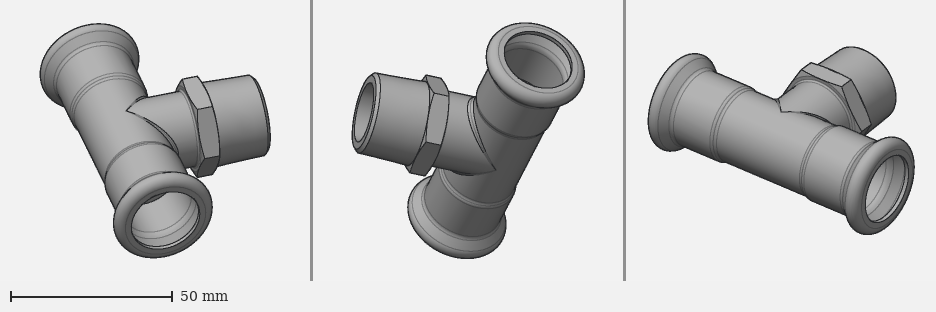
import cadquery as cq
import math

length = 82.0
run_radius = 23.8 / 2
bore_radius = 18.7 / 2

socket_radius = 25.0 / 2
socket_bore_radius = 22.1 / 2
bead_outer_radius = 15.87
bead_round = 2.9
bead_angle = math.radians(40)
root_round = 2.1
step_start = 22.8
step_width = 2.1
groove_wall = 1.4

branch_end = 58.9 - bead_outer_radius
hex_bottom = 19.9
hex_top = 26.1
hex_flats = 27.1
hex_chamfer_angle = math.radians(17)
neck_fillet = 0.6
crotch_size = 1.4
taper_base_radius = 13.3
taper_end_radius = 12.7
end_chamfer = 1.1

bead_center_radius = bead_outer_radius - bead_round
step_end = step_start + step_width


def revolve_run(profile):
    return profile.close().revolve(360, (0, 0, 0), (1, 0, 0))


def flare(profile, start, round_radius, tube_radius, root_radius):
    """Add a bead arc, sloping wall and root arc, ending tangent to a tube."""
    sine = math.sin(bead_angle)
    cosine = math.cos(bead_angle)
    half_angle = (math.pi / 2 - bead_angle) / 2
    center_x = start + round_radius
    slope_start = (center_x + round_radius * sine, bead_center_radius + round_radius * cosine)
    slope_end_radius = tube_radius + root_radius * (1 - cosine)
    slope_length = (slope_start[1] - slope_end_radius) / math.tan(bead_angle)
    slope_end = (slope_start[0] + slope_length, slope_end_radius)
    root_middle = (
        slope_end[0] + root_radius * (sine - math.sin(bead_angle / 2)),
        tube_radius + root_radius * (1 - math.cos(bead_angle / 2)),
    )
    bead_middle = (
        center_x - round_radius * math.sin(half_angle),
        bead_center_radius + round_radius * math.cos(half_angle),
    )
    return (
        profile.lineTo(start, bead_center_radius)
        .threePointArc(bead_middle, slope_start)
        .lineTo(*slope_end)
        .threePointArc(root_middle, (slope_end[0] + root_radius * sine, tube_radius))
    )


def make_socket():
    """Left socket shell, with its end face on the YZ plane."""
    profile = cq.Workplane("XY").moveTo(0, 0)
    profile = flare(profile, 0, bead_round, socket_radius, root_round)
    step_middle = (step_start + step_width / 2, (socket_radius + run_radius) / 2)
    profile = (
        profile.lineTo(step_start, socket_radius)
        .tangentArcPoint(step_middle, relative=False)
        .tangentArcPoint((step_end, run_radius), relative=False)
        .lineTo(step_end, 0)
    )
    return revolve_run(profile)


def make_socket_cavity():
    """Socket bore with the sealing ring groove inside the bead."""
    bore = cq.Workplane("YZ").circle(socket_bore_radius).extrude(step_start)
    groove = cq.Workplane("XY").moveTo(groove_wall, 0)
    groove = flare(
        groove, groove_wall, bead_round - groove_wall, socket_bore_radius, root_round + groove_wall
    )
    groove = groove.lineTo(step_start, socket_bore_radius).lineTo(step_start, 0)
    return bore.union(revolve_run(groove))


def both_ends(shape):
    left = shape.translate((-length / 2, 0, 0))
    return left.union(left.mirror("YZ"))


def branch_cylinder(radius, start, end):
    return cq.Workplane("XZ", origin=(0, start, 0)).circle(radius).extrude(start - end)


def make_crotch_web():
    """Sloping web at x > 0 between run and branch, narrowing to nothing at z = +/- run_radius."""
    contact = run_radius + crotch_size
    wedge = (
        cq.Workplane("XY")
        .polyline([(0, 0), (2 * contact, 2 * run_radius), (2 * run_radius, 2 * contact)])
        .close()
        .extrude(run_radius, both=True)
    )
    diagonal = cq.Plane(origin=(0, 0, 0), xDir=(1, 1, 0), normal=(1, -1, 0))
    semi_axis = (run_radius + contact) / math.sqrt(2)
    elliptic_rod = cq.Workplane(diagonal).ellipse(semi_axis, run_radius).extrude(run_radius, both=True)
    return wedge.intersect(elliptic_rod)


def make_tee():
    run = cq.Workplane("YZ").circle(run_radius).extrude(length / 2 - step_end, both=True)
    web = make_crotch_web()
    return run.union(branch_cylinder(run_radius, 0, hex_bottom)).union(web).union(web.mirror("YZ"))


def make_hexagon():
    """Hexagon with corners on X, its corners bevelled by a cone on both faces."""
    corner_radius = hex_flats / math.sqrt(3)
    flat_radius = hex_flats / 2
    bevel = (corner_radius - flat_radius) * math.tan(hex_chamfer_angle)
    hexagon = (
        cq.Workplane("XZ", origin=(0, hex_bottom, 0))
        .polygon(6, 2 * corner_radius)
        .extrude(hex_bottom - hex_top)
    )
    envelope = (
        cq.Workplane("XY")
        .moveTo(0, hex_bottom)
        .lineTo(flat_radius, hex_bottom)
        .lineTo(corner_radius, hex_bottom + bevel)
        .lineTo(corner_radius, hex_top - bevel)
        .lineTo(flat_radius, hex_top)
        .lineTo(0, hex_top)
        .close()
        .revolve(360, (0, 0, 0), (0, 1, 0))
    )
    return hexagon.intersect(envelope)


def make_neck_and_taper():
    """Filleted neck below the hexagon and the chamfered tapered end above it."""
    neck = (
        cq.Workplane("XY")
        .moveTo(0, hex_bottom - neck_fillet)
        .lineTo(run_radius, hex_bottom - neck_fillet)
        .radiusArc((run_radius + neck_fillet, hex_bottom), neck_fillet)
        .lineTo(taper_base_radius, hex_bottom)
        .lineTo(taper_base_radius, hex_top)
        .lineTo(taper_end_radius, branch_end - end_chamfer)
        .lineTo(taper_end_radius - end_chamfer, branch_end)
        .lineTo(0, branch_end)
        .close()
    )
    return neck.revolve(360, (0, 0, 0), (0, 1, 0))


body = make_tee().union(both_ends(make_socket())).union(make_hexagon()).union(make_neck_and_taper())
run_bore = cq.Workplane("YZ").circle(bore_radius).extrude(length / 2, both=True)
branch_bore = branch_cylinder(bore_radius, 0, branch_end)
result = body.cut(run_bore).cut(branch_bore).cut(both_ends(make_socket_cavity()))